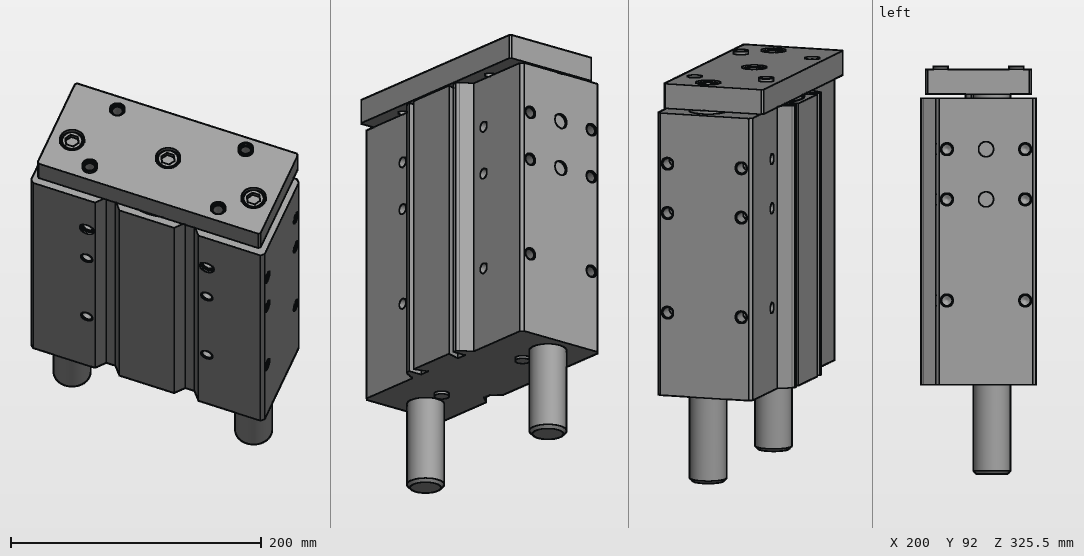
import cadquery as cq
import math


HOUSING_WIDTH = 200.0
HOUSING_HEIGHT = 228.7
OVERALL_DEPTH = 92.0
BODY_DEPTH = 80.0
CORNER_CHAMFER = 2.5
SIDE_X = HOUSING_WIDTH / 2
FRONT_Y = -OVERALL_DEPTH / 2
RIB_TOP_Y = OVERALL_DEPTH / 2
BACK_Y = FRONT_Y + BODY_DEPTH
BODY_MID_Y = (FRONT_Y + BACK_Y) / 2

GROOVE_X = 33.8
GROOVE_MOUTH = 20.8
GROOVE_FLOOR = 7.8
GROOVE_DEPTH = 7.8

RIB_TOP_WIDTH = 62.5
RIB_CHAMFER = 2.0
RIB_FLANK_ANGLE = 30
SLOT_OUTER_X = 28.0
SLOT_MOUTH_INNER_X = 22.5
SLOT_FLOOR_INNER_X = 19.0

BORE = 8.5
COUNTERSINK_MOUTH = 10.0
COUNTERBORE = 12.0
COUNTERBORE_DEPTH = 2.0
COLLAR_DIAMETER = 12.0
COLLAR_HEIGHT = 2.3
LOW_HOLE_Z = 67.3
MIDDLE_HOLE_Z = 148.0
HIGH_HOLE_Z = 188.0
HOLE_HEIGHTS = (LOW_HOLE_Z, MIDDLE_HOLE_Z, HIGH_HOLE_Z)
FRONT_HOLE_X = 51.5
SIDE_HOLE_OFFSET_Y = 31.2
SIDE_HOLE_DEPTH = 16.3
DRILL_POINT_ANGLE = 118
PORT_DIAMETER = 12.0
PORT_DEPTH = 2.0

SEAL_RECESS_MOUTH = 82.0
SEAL_RECESS_DIAMETER = 80.0
SEAL_RECESS_DEPTH = 2.0

PLATE_WIDTH = 191.0
PLATE_DEPTH = 84.3
PLATE_THICKNESS = 20.0
PLATE_CHAMFER = 1.45
PLATE_GAP = 3.3
PLATE_HOLE_X = 55.0
PLATE_HOLE_Y = 30.3
PLATE_BOTTOM_Z = HOUSING_HEIGHT + PLATE_GAP
PLATE_TOP_Z = PLATE_BOTTOM_Z + PLATE_THICKNESS

GUIDE_ROD_DIAMETER = 30.0
GUIDE_ROD_X = 77.7
GUIDE_ROD_Y = -10.7
GUIDE_ROD_DROP = 71.2
GUIDE_ROD_CHAMFER = 2.5
GUIDE_ROD_CENTRES = [(-GUIDE_ROD_X, GUIDE_ROD_Y), (GUIDE_ROD_X, GUIDE_ROD_Y)]
PISTON_ROD_DIAMETER = 20.0
PISTON_ROD_FLATS = 17.0
PISTON_ROD_CENTRE = (0, 0.5)
PISTON_ROD_BASE_Z = HOUSING_HEIGHT / 2

BOLT_CENTRES = GUIDE_ROD_CENTRES + [PISTON_ROD_CENTRE]
BOLT_COUNTERBORE = 20.0
BOLT_RECESS = 1.0
BOLT_HEAD_DIAMETER = 18.0
BOLT_HEAD_HEIGHT = 12.0
BOLT_HEAD_CHAMFER = 1.0
BOLT_SHANK_DIAMETER = 12.0
SOCKET_FLATS = 10.0
SOCKET_DEPTH = 3.3
BOLT_HEAD_TOP_Z = PLATE_TOP_Z - BOLT_RECESS
BOLT_SEAT_Z = BOLT_HEAD_TOP_Z - BOLT_HEAD_HEIGHT

BACKWARD = (0, 1, 0)
DOWN = (0, 0, -1)


def upright_cylinder(diameter, centre, bottom_z, top_z):
    """Cylinder along Z between two heights."""
    base = cq.Workplane("XY", origin=(*centre, bottom_z))
    return base.circle(diameter / 2).extrude(top_z - bottom_z)


def upright_prism(points, height):
    """Prism that rises from Z = 0 over a closed polygon."""
    return cq.Workplane("XY").polyline(points).close().extrude(height)


def cylinder_from(point, direction, diameter, depth):
    """Cylinder that starts at a point and runs along a direction."""
    solid = cq.Solid.makeCylinder(diameter / 2, depth, cq.Vector(*point), cq.Vector(*direction))
    return cq.Workplane(solid)


def countersink(point, direction, mouth, bore):
    """45 degree cone from the mouth diameter down to the bore diameter."""
    depth = (mouth - bore) / 2
    solid = cq.Solid.makeCone(mouth / 2, bore / 2, depth, cq.Vector(*point), cq.Vector(*direction))
    return cq.Workplane(solid)


def countersunk_hole(point, direction, depth):
    """Mounting bore with a countersunk mouth."""
    bore = cylinder_from(point, direction, BORE, depth)
    return bore.union(countersink(point, direction, COUNTERSINK_MOUTH, BORE))


def countersunk_blind_hole(point, direction, depth):
    """Countersunk mounting bore that ends in a drill point."""
    axis = cq.Vector(*direction)
    tip_length = BORE / 2 / math.tan(math.radians(DRILL_POINT_ANGLE / 2))
    tip = cq.Solid.makeCone(BORE / 2, 0, tip_length, cq.Vector(*point) + axis * depth, axis)
    return countersunk_hole(point, direction, depth).union(cq.Workplane(tip))


def housing_block():
    """Extruded outline with chamfered corners and the flared rib at the back."""
    rib_top_x = RIB_TOP_WIDTH / 2
    shoulder_x = rib_top_x + RIB_CHAMFER
    shoulder_y = RIB_TOP_Y - RIB_CHAMFER
    rib_foot_x = shoulder_x + (shoulder_y - BACK_Y) * math.tan(math.radians(RIB_FLANK_ANGLE))
    right_half = [
        (SIDE_X - CORNER_CHAMFER, FRONT_Y),
        (SIDE_X, FRONT_Y + CORNER_CHAMFER),
        (SIDE_X, BACK_Y - CORNER_CHAMFER),
        (SIDE_X - CORNER_CHAMFER, BACK_Y),
        (rib_foot_x, BACK_Y),
        (shoulder_x, shoulder_y),
        (rib_top_x, RIB_TOP_Y),
    ]
    left_half = [(-x, y) for x, y in reversed(right_half)]
    return upright_prism(right_half + left_half, HOUSING_HEIGHT)


def front_groove(side):
    """Full-height groove that narrows toward its floor."""
    centre_x = side * GROOVE_X
    floor_y = FRONT_Y + GROOVE_DEPTH
    outline = [
        (centre_x - GROOVE_MOUTH / 2, FRONT_Y),
        (centre_x + GROOVE_MOUTH / 2, FRONT_Y),
        (centre_x + GROOVE_FLOOR / 2, floor_y),
        (centre_x - GROOVE_FLOOR / 2, floor_y),
    ]
    return upright_prism(outline, HOUSING_HEIGHT)


def sensor_slot(side):
    """Full-height slot through the rib that widens inward."""
    outline = [
        (side * SLOT_OUTER_X, RIB_TOP_Y),
        (side * SLOT_MOUTH_INNER_X, RIB_TOP_Y),
        (side * SLOT_FLOOR_INNER_X, BACK_Y),
        (side * SLOT_OUTER_X, BACK_Y),
    ]
    return upright_prism(outline, HOUSING_HEIGHT)


def cut_front_holes(housing, side):
    """Through holes from the front; the highest one is also counterbored."""
    for z in HOLE_HEIGHTS:
        mouth_y = FRONT_Y
        if z == HIGH_HOLE_Z:
            mouth_y = FRONT_Y + COUNTERBORE_DEPTH
            face_point = (side * FRONT_HOLE_X, FRONT_Y, z)
            housing = housing.cut(cylinder_from(face_point, BACKWARD, COUNTERBORE, COUNTERBORE_DEPTH))
        mouth_point = (side * FRONT_HOLE_X, mouth_y, z)
        housing = housing.cut(countersunk_hole(mouth_point, BACKWARD, BODY_DEPTH))
    return housing


def cut_side_holes(housing, side):
    """Two columns of blind holes in one side face."""
    inward = (-side, 0, 0)
    for y in (BODY_MID_Y - SIDE_HOLE_OFFSET_Y, BODY_MID_Y + SIDE_HOLE_OFFSET_Y):
        for z in HOLE_HEIGHTS:
            hole = countersunk_blind_hole((side * SIDE_X, y, z), inward, SIDE_HOLE_DEPTH)
            housing = housing.cut(hole)
    return housing


def cut_ports(housing):
    """Shallow port recesses in the left side face."""
    for z in (MIDDLE_HOLE_Z, HIGH_HOLE_Z):
        port = cylinder_from((-SIDE_X, BODY_MID_Y, z), (1, 0, 0), PORT_DIAMETER, PORT_DEPTH)
        housing = housing.cut(port)
    return housing


def cut_rod_openings(housing):
    """Seal recess, through bores for the guide rods and a blind bore for the piston rod."""
    recess_floor_z = HOUSING_HEIGHT - SEAL_RECESS_DEPTH
    housing = housing.cut(upright_cylinder(SEAL_RECESS_DIAMETER, (0, 0), recess_floor_z, HOUSING_HEIGHT))
    housing = housing.cut(countersink((0, 0, HOUSING_HEIGHT), DOWN, SEAL_RECESS_MOUTH, SEAL_RECESS_DIAMETER))
    for centre in GUIDE_ROD_CENTRES:
        housing = housing.cut(upright_cylinder(GUIDE_ROD_DIAMETER, centre, 0, HOUSING_HEIGHT))
    bore = upright_cylinder(PISTON_ROD_DIAMETER, PISTON_ROD_CENTRE, PISTON_ROD_BASE_Z, HOUSING_HEIGHT)
    return housing.cut(bore)


def make_housing():
    housing = housing_block()
    for side in (-1, 1):
        housing = housing.cut(front_groove(side))
        housing = housing.cut(sensor_slot(side))
        housing = cut_front_holes(housing, side)
        housing = cut_side_holes(housing, side)
        collar_centre = (side * FRONT_HOLE_X, BODY_MID_Y)
        housing = housing.union(upright_cylinder(COLLAR_DIAMETER, collar_centre, -COLLAR_HEIGHT, 0))
    housing = cut_ports(housing)
    return cut_rod_openings(housing)


def add_collared_hole(plate, centre):
    """Countersunk through hole with a raised collar around its mouth."""
    collar_top_z = PLATE_TOP_Z + COLLAR_HEIGHT
    collar = upright_cylinder(COLLAR_DIAMETER, centre, PLATE_TOP_Z, collar_top_z)
    collar = collar.cut(upright_cylinder(COUNTERSINK_MOUTH, centre, PLATE_TOP_Z, collar_top_z))
    hole = countersunk_hole((*centre, PLATE_TOP_Z), DOWN, PLATE_THICKNESS)
    return plate.union(collar).cut(hole)


def cut_counterbored_hole(plate, centre):
    """Countersunk through hole below a shallow counterbore."""
    floor_z = PLATE_TOP_Z - COUNTERBORE_DEPTH
    plate = plate.cut(upright_cylinder(COUNTERBORE, centre, floor_z, PLATE_TOP_Z))
    return plate.cut(countersunk_hole((*centre, floor_z), DOWN, PLATE_THICKNESS))


def make_plate():
    plate = cq.Workplane("XY", origin=(0, 0, PLATE_BOTTOM_Z)).rect(PLATE_WIDTH, PLATE_DEPTH)
    plate = plate.extrude(PLATE_THICKNESS).edges("|Z").chamfer(PLATE_CHAMFER)
    for side in (-1, 1):
        plate = add_collared_hole(plate, (side * PLATE_HOLE_X, side * PLATE_HOLE_Y))
        plate = cut_counterbored_hole(plate, (side * PLATE_HOLE_X, -side * PLATE_HOLE_Y))
    for centre in BOLT_CENTRES:
        plate = plate.cut(upright_cylinder(BOLT_COUNTERBORE, centre, BOLT_SEAT_Z, PLATE_TOP_Z))
        plate = plate.cut(upright_cylinder(BOLT_SHANK_DIAMETER, centre, PLATE_BOTTOM_Z, BOLT_SEAT_Z))
    return plate


def make_piston_rod():
    """Round rod with two wrench flats on its exposed end."""
    rod = upright_cylinder(PISTON_ROD_DIAMETER, PISTON_ROD_CENTRE, PISTON_ROD_BASE_Z, HOUSING_HEIGHT)
    neck = upright_cylinder(PISTON_ROD_DIAMETER, PISTON_ROD_CENTRE, HOUSING_HEIGHT, PLATE_BOTTOM_Z)
    flats = cq.Workplane("XY", origin=(*PISTON_ROD_CENTRE, HOUSING_HEIGHT))
    flats = flats.rect(PISTON_ROD_FLATS, PISTON_ROD_DIAMETER).extrude(PLATE_GAP)
    return rod.union(neck.intersect(flats))


def make_guide_rod(centre):
    rod = upright_cylinder(GUIDE_ROD_DIAMETER, centre, -GUIDE_ROD_DROP, PLATE_BOTTOM_Z)
    return rod.faces("<Z").chamfer(GUIDE_ROD_CHAMFER)


def make_bolt(centre):
    """Socket head bolt; its shank ends at the underside of the plate."""
    head = upright_cylinder(BOLT_HEAD_DIAMETER, centre, BOLT_SEAT_Z, BOLT_HEAD_TOP_Z)
    head = head.faces(">Z").chamfer(BOLT_HEAD_CHAMFER)
    socket_corners = SOCKET_FLATS / math.cos(math.radians(30))
    socket = cq.Workplane("XY", origin=(*centre, BOLT_HEAD_TOP_Z - SOCKET_DEPTH))
    socket = socket.polygon(6, socket_corners).extrude(SOCKET_DEPTH)
    shank = upright_cylinder(BOLT_SHANK_DIAMETER, centre, PLATE_BOTTOM_Z, BOLT_SEAT_Z)
    return head.cut(socket).union(shank)


housing = make_housing().solids().val()
plate = make_plate().solids().val()
piston_rod = make_piston_rod().solids().val()
guide_rods = [make_guide_rod(centre).solids().val() for centre in GUIDE_ROD_CENTRES]
bolts = [make_bolt(centre).solids().val() for centre in BOLT_CENTRES]

result = cq.Compound.makeCompound([housing, plate, piston_rod, *guide_rods, *bolts])